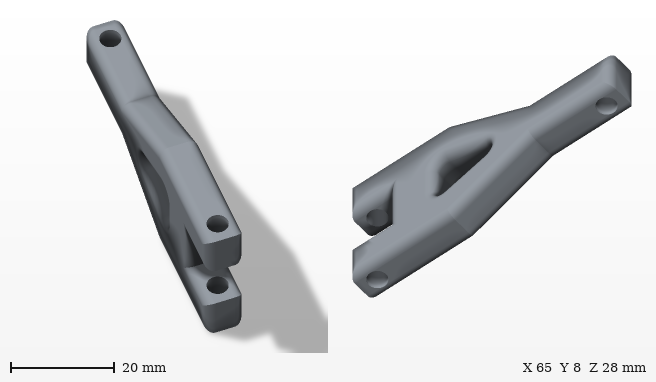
import cadquery as cq
import math

length = 65.0
thickness = 8.0
fork_height = 28.0
arm_height = 10.0
taper_start = 20.0
taper_end = 40.0
slot_floor = 55.0
edge_radius = 2.0

pin_diameter = 4.3
pin_inset = 4.0

window_radius = 2.0
window_tip_x = 32.25
window_base_x = 42.0
window_half_spread = 3.2


def plate():
    """Forked arm outline, extruded symmetrically about Y = 0."""
    arm = arm_height / 2
    fork = fork_height / 2
    slot = arm_height / 2
    upper = [
        (0, arm),
        (taper_start, arm),
        (taper_end, fork),
        (length, fork),
        (length, slot),
        (slot_floor, slot),
    ]
    lower = [(x, -z) for x, z in reversed(upper)]
    return cq.Workplane("XZ").polyline(upper + lower).close().extrude(thickness / 2, both=True)


def window():
    """Triangular cutter with its tip toward the arm end."""
    run = window_base_x - window_tip_x
    side = math.hypot(run, window_half_spread)
    normal_x = -window_half_spread / side
    normal_z = run / side
    offset_x = window_radius * normal_x
    offset_z = window_radius * normal_z

    tip_tangent = (window_tip_x + offset_x, offset_z)
    base_tangent = (window_base_x + offset_x, window_half_spread + offset_z)
    right_x = window_base_x + window_radius

    middle_angle = math.atan2(normal_z, normal_x) / 2
    middle_x = window_base_x + window_radius * math.cos(middle_angle)
    middle_z = window_half_spread + window_radius * math.sin(middle_angle)

    return (
        cq.Workplane("XZ")
        .moveTo(*tip_tangent)
        .lineTo(*base_tangent)
        .threePointArc((middle_x, middle_z), (right_x, window_half_spread))
        .lineTo(right_x, -window_half_spread)
        .threePointArc((middle_x, -middle_z), (base_tangent[0], -base_tangent[1]))
        .lineTo(tip_tangent[0], -tip_tangent[1])
        .threePointArc((window_tip_x - window_radius, 0), tip_tangent)
        .close()
        .extrude(thickness / 2, both=True)
    )


def pin_holes():
    """Vertical holes through the arm end and both fork tines."""
    return (
        cq.Workplane("XY")
        .pushPoints([(pin_inset, 0), (length - pin_inset, 0)])
        .circle(pin_diameter / 2)
        .extrude(fork_height, both=True)
    )


body = plate().cut(window())
body = body.faces("<Y or >Y").edges().fillet(edge_radius)
result = body.cut(pin_holes())